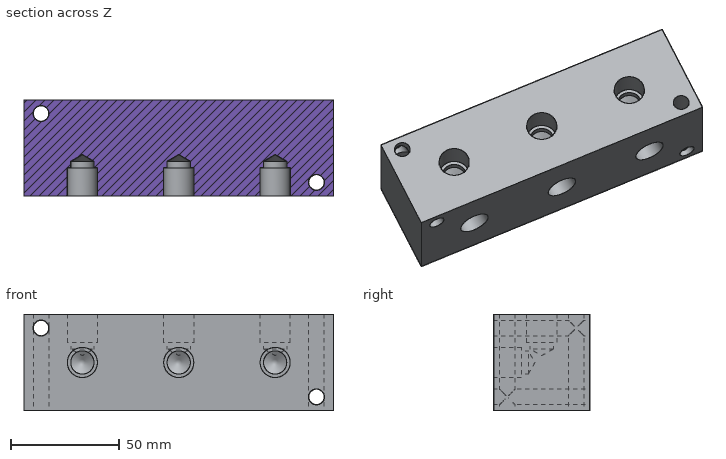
import cadquery as cq
import math

LENGTH = 142.88
SECTION = 44.45

PORT_PITCH = 44.45
PORT_COUNT = 3
PORT_DIAMETER = 13.87
PORT_DEPTH = 13.0
DRILL_DIAMETER = 10.72
DRILL_DEPTH = 16.0
DRILL_POINT_ANGLE = 120.0

MOUNT_DIAMETER = 7.14
MOUNT_END_INSET = 7.94
MOUNT_SIDE_INSET = 6.35


def port_cutter():
    """Stepped drill with a conical point, entering the plane of the top face and running down -Z."""
    port_radius = PORT_DIAMETER / 2
    drill_radius = DRILL_DIAMETER / 2
    point_length = drill_radius / math.tan(math.radians(DRILL_POINT_ANGLE / 2))
    top = SECTION / 2
    profile = (
        cq.Workplane("XZ")
        .moveTo(0, top)
        .lineTo(port_radius, top)
        .lineTo(port_radius, top - PORT_DEPTH)
        .lineTo(drill_radius, top - PORT_DEPTH)
        .lineTo(drill_radius, top - DRILL_DEPTH)
        .lineTo(0, top - DRILL_DEPTH - point_length)
        .close()
    )
    return profile.revolve(360, (0, 0, 0), (0, 1, 0))


def top_face_holes():
    """Cutters for the port row and the two mounting holes of the top face."""
    mount_x = LENGTH / 2 - MOUNT_END_INSET
    mount_y = SECTION / 2 - MOUNT_SIDE_INSET
    cutters = (
        cq.Workplane("XY")
        .pushPoints([(-mount_x, mount_y), (mount_x, -mount_y)])
        .circle(MOUNT_DIAMETER / 2)
        .extrude(SECTION, both=True)
    )
    for index in range(PORT_COUNT):
        x = (index - (PORT_COUNT - 1) / 2) * PORT_PITCH
        cutters = cutters.add(port_cutter().translate((x, 0, 0)))
    return cutters.combine()


block = cq.Workplane("XY").box(LENGTH, SECTION, SECTION)
top_holes = top_face_holes()
front_holes = top_holes.rotate((0, 0, 0), (1, 0, 0), 90)
result = block.cut(top_holes).cut(front_holes)